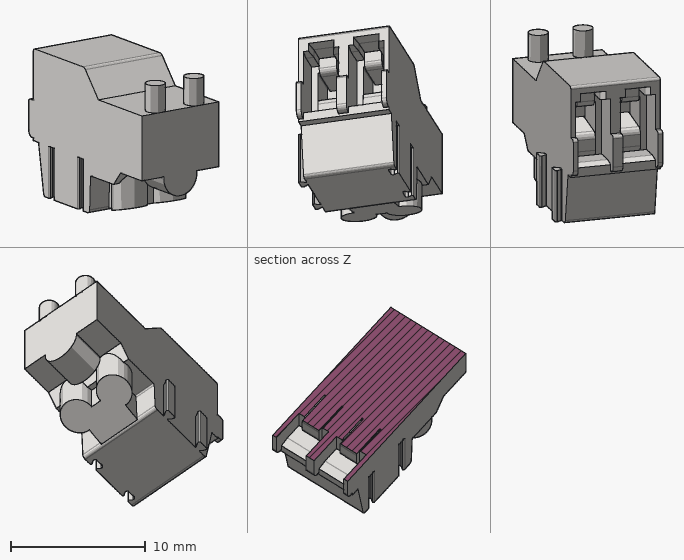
import cadquery as cq
import math

length = 14.6
height = 11.1
body_width = 7.0

pole_pitch = body_width / 2
pole_centers = (pole_pitch / 2, body_width - pole_pitch / 2)

front_x = 0.6
ledge_z = 4.0
foot_front_x = 1.27
foot_corner_x = 1.95
foot_back_x = 7.85
notch_front_x = 7.97
notch_z = 2.92
notch_back_x = 10.94
tail_x = 11.84
tail_top_z = 9.0
roof_end_x = 7.2
roof_slope_end_x = 9.0
front_edge_radius = 0.2
roof_slope_radius = 0.41
foot_radius = 0.29
notch_radius = 0.12

side_wall = 0.38
tab_bottom_z = 4.2
tab_top_z = 7.11
tab_bottom_radius = 0.48

pocket_back_x = 2.76
pocket_floor_z = 4.88
lip_z = 4.7
lip_slope_end_x = 1.35
shoulder_z = 9.84
step_top_z = 10.47
step_width = 1.97
lead_in = 0.22
lead_in_depth = 0.69
pocket_width = pole_pitch - 2 * side_wall

window_width = 1.74
window_bottom_z = 6.35
window_top_z = 9.05
window_back_x = 5.25
window_corner_radius = 0.09
jaw_front_x = 2.38
jaw_radius = 0.48
lower_jaw_width = 1.55
lower_jaw_face_bottom_z = 5.35
lower_jaw_back_z = 7.11
lower_jaw_slope = math.radians(9)
upper_jaw_width = 1.35
upper_jaw_bottom_z = 8.75
upper_jaw_top_z = 10.03

dovetail_xs = (2.95, 6.66)
ridge_height = 0.58
ridge_neck_width = 0.45
ridge_neck_height = 0.06
ridge_head_width = 0.88
ridge_head_thickness = 0.18
ridge_corner_radius = 0.09
groove_neck_width = 0.54
groove_neck_depth = 0.12
groove_head_width = 0.9
groove_head_start = 0.4
groove_depth = 0.61
groove_corner_radius = 0.15

boss_radius = 1.33
boss_x = tail_x - boss_radius
boss_end_z = 1.1
boss_slope_start_x = 7.36
barrel_radius = 1.5
barrel_axis_z = 3.83
pin_radius = barrel_radius / 2


def prism_along_y(outline, y_start, width):
    """Extrude a closed (x, z) outline toward +Y."""
    return cq.Workplane("XZ", origin=(0, y_start, 0)).polyline(outline).close().extrude(-width)


def round_edges_along_y(solid, y, corners):
    """Fillet the edges along Y that pass through the given (x, z, radius) corners."""
    for x, z, radius in corners:
        solid = solid.edges("|Y").edges(cq.NearestToPointSelector((x, y, z))).fillet(radius)
    return solid


def body():
    outline = [
        (front_x, ledge_z),
        (foot_front_x, ledge_z),
        (foot_corner_x, 0),
        (foot_back_x, 0),
        (notch_front_x, notch_z),
        (notch_back_x, notch_z),
        (tail_x, ledge_z),
        (length, ledge_z),
        (length, tail_top_z),
        (roof_slope_end_x, tail_top_z),
        (roof_end_x, height),
        (front_x, height),
    ]
    corners = [
        (front_x, height, front_edge_radius),
        (roof_end_x, height, roof_slope_radius),
        (foot_corner_x, 0, foot_radius),
        (foot_back_x, 0, foot_radius),
        (notch_front_x, notch_z, notch_radius),
    ]
    return round_edges_along_y(prism_along_y(outline, 0, body_width), body_width / 2, corners)


def tab(y_start, width):
    outline = [
        (0, tab_bottom_z),
        (front_x, tab_bottom_z),
        (front_x, tab_top_z),
        (0, tab_top_z),
    ]
    corners = [
        (0, tab_bottom_z, tab_bottom_radius),
        (0, tab_top_z, front_edge_radius),
    ]
    return round_edges_along_y(prism_along_y(outline, y_start, width), y_start + width / 2, corners)


def entry_outline(x, pole_y, inset):
    """T-shaped entry outline on a plane at x, its top edges moved in by the inset."""
    half = pocket_width / 2
    half_step = step_width / 2 - inset
    points = [
        (pole_y - half, pocket_floor_z),
        (pole_y + half, pocket_floor_z),
        (pole_y + half, shoulder_z - inset),
        (pole_y + half_step, shoulder_z - inset),
        (pole_y + half_step, step_top_z - inset),
        (pole_y - half_step, step_top_z - inset),
        (pole_y - half_step, shoulder_z - inset),
        (pole_y - half, shoulder_z - inset),
    ]
    return cq.Wire.makePolygon([cq.Vector(x, y, z) for y, z in points], close=True)


def entry_pocket(pole_y):
    """Wire entry with tapered top edges, a straight rear part and a sloped lip."""
    taper_end_x = front_x + lead_in_depth
    outer = entry_outline(front_x, pole_y, 0)
    inner = entry_outline(taper_end_x, pole_y, lead_in)
    taper = cq.Workplane(obj=cq.Solid.makeLoft([outer, inner], True))
    rear_depth = cq.Vector(pocket_back_x - taper_end_x, 0, 0)
    rear = cq.Workplane(obj=cq.Solid.extrudeLinear(inner, [], rear_depth))
    lip_outline = [
        (front_x, lip_z),
        (lip_slope_end_x, pocket_floor_z),
        (front_x, pocket_floor_z),
    ]
    lip = prism_along_y(lip_outline, pole_y - pocket_width / 2, pocket_width)
    return taper.union(rear).union(lip)


def clamp_window(pole_y):
    return (
        cq.Workplane("XY")
        .box(
            window_back_x - pocket_back_x,
            window_width,
            window_top_z - window_bottom_z,
            centered=(False, True, False),
        )
        .edges("|X")
        .fillet(window_corner_radius)
        .translate((pocket_back_x, pole_y, window_bottom_z))
    )


def lower_jaw(pole_y):
    """Jaw with a rounded nose above and below its face and a top rising to the rear."""
    slope_rise = (window_back_x - jaw_front_x) * math.tan(lower_jaw_slope)
    outline = [
        (jaw_front_x, lower_jaw_face_bottom_z - jaw_radius),
        (window_back_x, lower_jaw_face_bottom_z - jaw_radius),
        (window_back_x, lower_jaw_back_z),
        (jaw_front_x, lower_jaw_back_z - slope_rise),
    ]
    corners = [
        (jaw_front_x, lower_jaw_face_bottom_z - jaw_radius, jaw_radius),
        (jaw_front_x, lower_jaw_back_z - slope_rise, jaw_radius),
    ]
    jaw = prism_along_y(outline, pole_y - lower_jaw_width / 2, lower_jaw_width)
    return round_edges_along_y(jaw, pole_y, corners)


def upper_jaw(pole_y):
    """Jaw with a rounded lower nose."""
    outline = [
        (jaw_front_x, upper_jaw_bottom_z),
        (window_back_x, upper_jaw_bottom_z),
        (window_back_x, upper_jaw_top_z),
        (jaw_front_x, upper_jaw_top_z),
    ]
    jaw = prism_along_y(outline, pole_y - upper_jaw_width / 2, upper_jaw_width)
    return round_edges_along_y(jaw, pole_y, [(jaw_front_x, upper_jaw_bottom_z, jaw_radius)])


def dovetail_ridge(x):
    neck = ridge_neck_width / 2
    head = ridge_head_width / 2
    top_y = body_width + ridge_height
    points = [
        (x - neck, body_width),
        (x - neck, body_width + ridge_neck_height),
        (x - head, top_y - ridge_head_thickness),
        (x - head, top_y),
        (x + head, top_y),
        (x + head, top_y - ridge_head_thickness),
        (x + neck, body_width + ridge_neck_height),
        (x + neck, body_width),
    ]
    ridge = cq.Workplane("XY").polyline(points).close().extrude(ledge_z)
    return ridge.faces(">Y").edges("|Z").fillet(ridge_corner_radius)


def dovetail_groove(x):
    """Groove that mates with the ridge, with rounded mouth edges."""
    neck = groove_neck_width / 2
    mouth = neck + groove_neck_depth
    head = groove_head_width / 2
    arc_offset = groove_neck_depth / math.sqrt(2)
    arc_x = mouth - arc_offset
    arc_y = groove_neck_depth - arc_offset
    groove = (
        cq.Workplane("XY")
        .moveTo(x - mouth, 0)
        .threePointArc((x - arc_x, arc_y), (x - neck, groove_neck_depth))
        .lineTo(x - head, groove_head_start)
        .lineTo(x - head, groove_depth)
        .lineTo(x + head, groove_depth)
        .lineTo(x + head, groove_head_start)
        .lineTo(x + neck, groove_neck_depth)
        .threePointArc((x + arc_x, arc_y), (x + mouth, 0))
        .close()
        .extrude(ledge_z)
    )
    return groove.faces(">Y").edges("|Z").fillet(groove_corner_radius)


def bosses():
    """Round bosses joined by a web to the foot, cut off by one sloped plane underneath."""
    solid = cq.Workplane("XY").box(
        boss_x - foot_back_x + foot_radius,
        pole_pitch,
        ledge_z,
        centered=False,
    )
    solid = solid.translate((foot_back_x - foot_radius, pole_centers[0], 0))
    for pole_y in pole_centers:
        solid = solid.union(cq.Workplane(origin=(boss_x, pole_y, 0)).circle(boss_radius).extrude(ledge_z))
    below = prism_along_y([(boss_slope_start_x, 0), (tail_x, 0), (tail_x, boss_end_z)], 0, body_width)
    return solid.cut(below)


def rear_barrel():
    """Round barrel along X under the tail, straight sided above its axis."""
    depth = length - tail_x
    start = cq.Workplane("YZ", origin=(tail_x, body_width / 2, barrel_axis_z))
    round_part = start.circle(barrel_radius).extrude(depth)
    side_height = ledge_z - barrel_axis_z
    sides = start.center(0, side_height / 2).rect(2 * barrel_radius, side_height).extrude(depth)
    return round_part.union(sides)


def pin(pole_y):
    base = cq.Workplane(origin=(length - pin_radius, pole_y, tail_top_z))
    return base.circle(pin_radius).extrude(height - tail_top_z)


result = body()
for dovetail_x in dovetail_xs:
    result = result.cut(dovetail_groove(dovetail_x))
    result = result.union(dovetail_ridge(dovetail_x))

result = result.union(bosses()).union(rear_barrel())

for pole in pole_centers:
    result = result.cut(entry_pocket(pole)).cut(clamp_window(pole))
    result = result.union(lower_jaw(pole)).union(upper_jaw(pole)).union(pin(pole))

result = result.union(tab(0, side_wall))
result = result.union(tab(body_width / 2 - side_wall, 2 * side_wall))
result = result.union(tab(body_width - side_wall, side_wall))